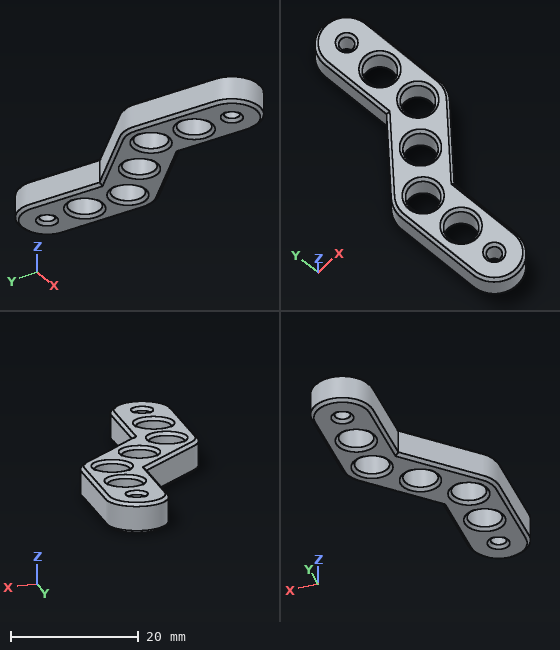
import cadquery as cq
import math

length = 52.0
width = 22.0
thickness = 5.0

bar_radius = 5.0
edge_chamfer = 0.5

large_hole_diameter = 5.5
small_hole_diameter = 2.5
large_hole_spacing = 8.0

arm_x = width / 2 - bar_radius
end_y = length / 2 - bar_radius
bend_y = arm_x
diagonal_angle = math.radians(45)


def bar_outline():
    """Outline of the bent bar: round ends, rounded outer bends, sharp inner bends."""
    right_x = arm_x + bar_radius
    inner_x = arm_x - bar_radius
    inner_y = bend_y + bar_radius * math.tan(diagonal_angle / 2)
    tangent_x = arm_x + bar_radius * math.cos(diagonal_angle)
    tangent_y = bend_y - bar_radius * math.sin(diagonal_angle)
    bend_mid_x = arm_x + bar_radius * math.cos(diagonal_angle / 2)
    bend_mid_y = bend_y - bar_radius * math.sin(diagonal_angle / 2)
    return (
        cq.Workplane("XY")
        .moveTo(right_x, bend_y)
        .lineTo(right_x, end_y)
        .threePointArc((arm_x, length / 2), (inner_x, end_y))
        .lineTo(inner_x, inner_y)
        .lineTo(-tangent_x, -tangent_y)
        .threePointArc((-bend_mid_x, -bend_mid_y), (-right_x, -bend_y))
        .lineTo(-right_x, -end_y)
        .threePointArc((-arm_x, -length / 2), (-inner_x, -end_y))
        .lineTo(-inner_x, -inner_y)
        .lineTo(tangent_x, tangent_y)
        .threePointArc((bend_mid_x, bend_mid_y), (right_x, bend_y))
        .close()
    )


def with_holes(body, centers, diameter):
    """Cut through holes of one diameter at the given centres."""
    cutter = cq.Workplane("XY").pushPoints(centers).circle(diameter / 2).extrude(thickness)
    return body.cut(cutter)


large_centers = [(0, 0)]
small_centers = []
for side in (-1, 1):
    large_centers.append((side * arm_x, side * bend_y))
    large_centers.append((side * arm_x, side * (bend_y + large_hole_spacing)))
    small_centers.append((side * arm_x, side * end_y))

bar = bar_outline().extrude(thickness)
bar = with_holes(bar, large_centers, large_hole_diameter)
bar = with_holes(bar, small_centers, small_hole_diameter)

result = bar.faces("|Z").edges().chamfer(edge_chamfer)